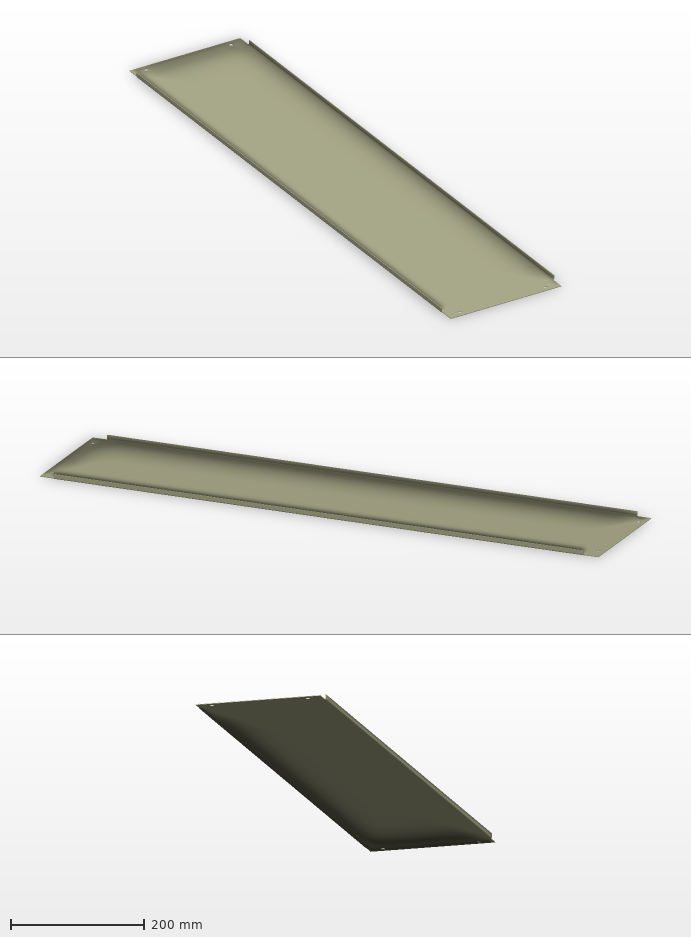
import cadquery as cq

length = 917.0
width = 199.0
height = 8.0
sheet = 1.0
inner_bend_radius = 1.0
outer_bend_radius = inner_bend_radius + sheet

end_setback = 23.5
flange_length = length - 2 * end_setback
base_width = width - 2 * outer_bend_radius

hole_diameter = 6.5
hole_spacing_x = 896.0
hole_spacing_y = 150.0


def make_base():
    """Flat sheet, as wide as the distance between the two bend lines."""
    return cq.Workplane("XY").box(length, base_width, sheet, centered=(True, True, False))


def make_flange():
    """Bend and upright wall along the +Y side."""
    bend_start = base_width / 2
    outer_face = width / 2
    inner_face = outer_face - sheet
    return (
        cq.Workplane("YZ", origin=(-flange_length / 2, 0, 0))
        .moveTo(bend_start, 0)
        .radiusArc((outer_face, outer_bend_radius), -outer_bend_radius)
        .lineTo(outer_face, height)
        .lineTo(inner_face, height)
        .lineTo(inner_face, outer_bend_radius)
        .radiusArc((bend_start, sheet), inner_bend_radius)
        .close()
        .extrude(flange_length)
    )


def make_corner_holes():
    """Cutters for the four through holes near the base corners."""
    return (
        cq.Workplane("XY")
        .rect(hole_spacing_x, hole_spacing_y, forConstruction=True)
        .vertices()
        .circle(hole_diameter / 2)
        .extrude(sheet)
    )


flange = make_flange()
result = make_base().union(flange).union(flange.mirror("XZ")).cut(make_corner_holes())